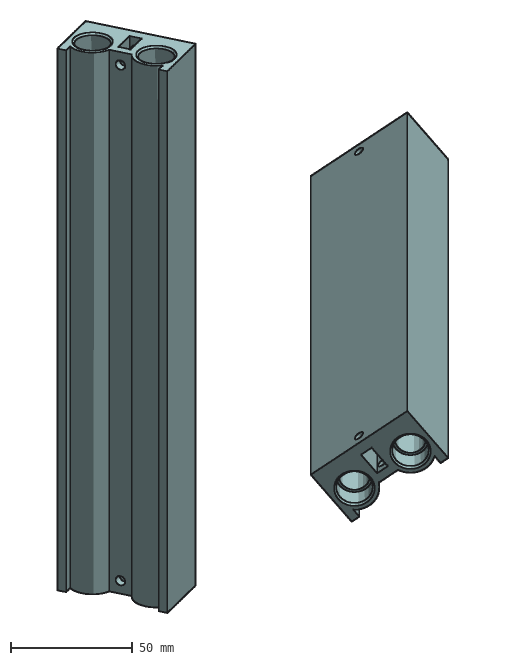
import cadquery as cq
import math

width = 50.0
depth = 28.0
length = 250.0

web_thickness = 20.0
leg_width = 4.0
lobe_radius = 10.2

bore_offset = 14.5
bore_from_back = 16.0
bore_diameter = 12.8
counterbore_diameter = 15.0
counterbore_depth = 10.0
chamfer_diameter = 16.8

channel_width = 5.5
channel_depth = 11.0
channel_from_back = 5.0

cross_hole_diameter = 4.2
cross_hole_from_end = 6.0

back_y = depth / 2
front_y = -depth / 2
web_y = back_y - web_thickness
bore_y = back_y - bore_from_back
end_z = length / 2
leg_inner_x = width / 2 - leg_width


def lobe_height(x):
    """Y of the front of the +X lobe at position x."""
    return bore_y - math.sqrt(lobe_radius**2 - (x - bore_offset) ** 2)


def make_body():
    """Extrude the outline; each half of the front is leg, lobe arc and web."""
    web_half_width = bore_offset - math.sqrt(lobe_radius**2 - (web_y - bore_y) ** 2)
    leg_root_y = lobe_height(leg_inner_x)
    lobe_front_y = bore_y - lobe_radius
    return (
        cq.Workplane("XY")
        .workplane(offset=-end_z)
        .moveTo(-width / 2, back_y)
        .lineTo(-width / 2, front_y)
        .lineTo(-leg_inner_x, front_y)
        .lineTo(-leg_inner_x, leg_root_y)
        .threePointArc((-bore_offset, lobe_front_y), (-web_half_width, web_y))
        .lineTo(web_half_width, web_y)
        .threePointArc((bore_offset, lobe_front_y), (leg_inner_x, leg_root_y))
        .lineTo(leg_inner_x, front_y)
        .lineTo(width / 2, front_y)
        .lineTo(width / 2, back_y)
        .close()
        .extrude(length)
    )


def make_bore(x):
    """Through bore with a chamfered counterbore at both ends, as a revolved cutter."""
    bore_radius = bore_diameter / 2
    counterbore_radius = counterbore_diameter / 2
    chamfer_radius = chamfer_diameter / 2
    chamfer_z = end_z - (chamfer_radius - counterbore_radius)
    shoulder_z = end_z - counterbore_depth
    half_profile = [
        (0, -end_z),
        (chamfer_radius, -end_z),
        (counterbore_radius, -chamfer_z),
        (counterbore_radius, -shoulder_z),
        (bore_radius, -shoulder_z),
        (bore_radius, shoulder_z),
        (counterbore_radius, shoulder_z),
        (counterbore_radius, chamfer_z),
        (chamfer_radius, end_z),
        (0, end_z),
    ]
    cutter = cq.Workplane("XZ").polyline(half_profile).close().revolve(360, (0, 0), (0, 1))
    return cutter.translate((x, bore_y, 0))


def make_channel():
    """Rectangular channel running the full length."""
    channel_y = back_y - channel_from_back - channel_depth / 2
    return cq.Workplane("XY").box(channel_width, channel_depth, length).translate((0, channel_y, 0))


def make_cross_hole(z):
    """Round hole through the web from front to back."""
    return (
        cq.Workplane("XZ", origin=(0, back_y, z))
        .circle(cross_hole_diameter / 2)
        .extrude(depth)
    )


result = make_body().cut(make_channel())
for side in (-1, 1):
    result = result.cut(make_bore(side * bore_offset))
    result = result.cut(make_cross_hole(side * (end_z - cross_hole_from_end)))